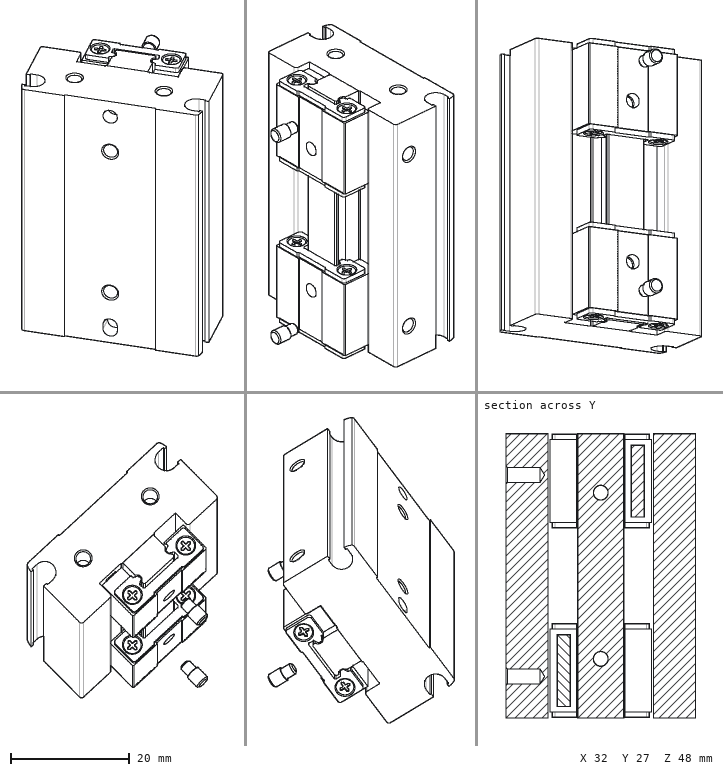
import cadquery as cq
import math

LENGTH = 48.0
WIDTH = 32.0
OVERALL_DEPTH = 27.0

HOUSING_DEPTH = 14.0
HOUSING_CORNER = 0.5
GROOVE_WIDTH = 17.75
GROOVE_FLOOR_Y = 10.95
RIDGE_WIDTH = 7.8
RIDGE_TOP_Y = 11.1
RECESS_WIDTH = 15.95
RECESS_DEPTH = 0.25
LOWER_LIP_WIDTH = 31.7
LOWER_LIP_BREAK_WIDTH = 30.9
LOWER_LIP_BREAK_Y = 0.2
LOWER_LIP_RADIUS = 4.5
FRONT_FACE_WIDTH = 29.95
FRONT_EDGE_RADIUS = 0.7

CHANNEL_HEIGHT = 3.8
CHANNEL_Y = 3.15
CHANNEL_ARC_X = 14.2
CHANNEL_LIP_X = 15.3
CHANNEL_MOUTH = 3.2

HOLE_DIAMETER = 2.45
HOLE_RIM_DIAMETER = 3.0
BLIND_HOLE_DEPTH = 5.75
DRILL_POINT_ANGLE = 118.0
END_HOLE_X = 7.8
END_HOLE_Y = 5.9
SIDE_HOLE_Y = 10.95
SIDE_HOLE_Z = 17.0
THROUGH_HOLE_Z = 14.0
LOCATING_Z = 21.0
LOCATING_DIAMETER = 2.5
LOCATING_SLOT_LENGTH = 3.35
LOCATING_DEPTH = 2.9

RAIL_WIDTH = 7.1
RAIL_TOP_Y = 16.3
RAIL_WAIST_WIDTH = 6.05
RAIL_CORNER = 0.25
RAIL_TRACK_TOP_Y = 15.7
RAIL_TRACK_BOTTOM_Y = 14.05

CARRIAGE_Z = 16.0
CARRIAGE_LENGTH = 15.8
END_PLATE_THICKNESS = 0.85
CARRIAGE_WIDTH = 17.2
CARRIAGE_TOP_Y = 18.85
CARRIAGE_TOP_CORNER = 0.2
LONG_LEG_Y = 11.35
SHORT_LEG_Y = 13.15
MIDDLE_RECESS_WIDTH = 5.85
MIDDLE_RECESS_DEPTH = 0.2
BORE_WIDTH = 8.15
BORE_TOP_Y = 16.8
BORE_CORNER = 0.2
NOSE_WIDTH = 6.45
NOSE_START_Y = 15.7
NOSE_TOP_Y = 15.2
NOSE_BOTTOM_Y = 14.55
NOSE_END_Y = 14.1
FOOT_X = 6.25
FOOT_WIDTH = 2.25
FOOT_INSET = 0.95
END_PLATE_WIDTH = 16.4
END_PLATE_TOP_Y = 18.7
END_PLATE_BOTTOM_Y = 13.65
END_PLATE_CORNER = 0.5
END_PLATE_RECESS_FLOOR = 6.55
END_PLATE_RECESS_MOUTH = 7.0
END_PLATE_RECESS_DEPTH = 0.3

SCREW_X = 6.25
SCREW_Y = 16.2
SCREW_RIM_DIAMETER = 3.35
SCREW_HEAD_DIAMETER = 3.0
SCREW_SINK = 0.2
CROSS_LENGTH = 2.0
CROSS_ARM_WIDTH = 0.5
CROSS_DEPTH = 0.4

PIN_Z = 19.95
PIN_HEAD_DIAMETER = 2.5
PIN_HEAD_LENGTH = 2.55
PIN_HEAD_CHAMFER = 0.25
PIN_TIP_DIAMETER = 2.0
PIN_LENGTH = 4.6
PIN_TIP_CHAMFER = 0.3


def mirrored_profile(half_points):
    """Close a half outline, listed from the bottom centre to the top centre, across X = 0."""
    other_half = [(-x, y) for x, y in reversed(half_points) if x > 0]
    return cq.Workplane("XY").polyline(half_points + other_half).close()


def box_between(x_min, x_max, y_min, y_max, z_min, z_max):
    size = (x_max - x_min, y_max - y_min, z_max - z_min)
    return cq.Workplane("XY").box(*size, centered=False).translate((x_min, y_min, z_min))


def revolved_tool(half_points, position, direction):
    """Turn a (radius, depth) outline about its axis and aim the axis along a direction."""
    x_axis = (0, 0, 1) if direction[2] == 0 else (1, 0, 0)
    plane = cq.Plane(origin=position, xDir=x_axis, normal=direction)
    turned = cq.Workplane("XZ").polyline(half_points).close().revolve(360, (0, 0), (0, 1))
    return cq.Workplane(obj=turned.val().moved(cq.Location(plane)))


def rim_outline():
    radius = HOLE_DIAMETER / 2
    rim_radius = HOLE_RIM_DIAMETER / 2
    return [(0, 0), (rim_radius, 0), (radius, rim_radius - radius)]


def blind_hole(position, direction):
    """Drilled hole with a chamfered rim and a conical bottom."""
    radius = HOLE_DIAMETER / 2
    point_depth = radius / math.tan(math.radians(DRILL_POINT_ANGLE / 2))
    bottom = [(radius, BLIND_HOLE_DEPTH), (0, BLIND_HOLE_DEPTH + point_depth)]
    return revolved_tool(rim_outline() + bottom, position, direction)


def through_hole(position, direction):
    """Straight hole with a chamfered rim, long enough to leave through the far side."""
    bottom = [(HOLE_DIAMETER / 2, OVERALL_DEPTH), (0, OVERALL_DEPTH)]
    return revolved_tool(rim_outline() + bottom, position, direction)


def side_channel():
    """Round-bottomed channel on the +X side, with a narrower mouth between two lips."""
    outer_x = WIDTH / 2
    radius = CHANNEL_HEIGHT / 2
    mouth = CHANNEL_MOUTH / 2
    return (
        cq.Workplane("XY")
        .moveTo(outer_x, CHANNEL_Y + mouth)
        .lineTo(CHANNEL_LIP_X, CHANNEL_Y + mouth)
        .lineTo(CHANNEL_LIP_X, CHANNEL_Y + radius)
        .lineTo(CHANNEL_ARC_X, CHANNEL_Y + radius)
        .threePointArc((CHANNEL_ARC_X - radius, CHANNEL_Y), (CHANNEL_ARC_X, CHANNEL_Y - radius))
        .lineTo(CHANNEL_LIP_X, CHANNEL_Y - radius)
        .lineTo(CHANNEL_LIP_X, CHANNEL_Y - mouth)
        .lineTo(outer_x, CHANNEL_Y - mouth)
        .close()
        .extrude(LENGTH / 2, both=True)
    )


def housing_half():
    """The +X half of the housing extrusion with its side channel, before the holes."""
    outer_x = WIDTH / 2
    groove_x = GROOVE_WIDTH / 2
    corner = HOUSING_CORNER
    arc_offset = corner * (1 - math.sqrt(0.5))
    shoulder_y = HOUSING_DEPTH - corner
    return (
        cq.Workplane("XY")
        .moveTo(0, RECESS_DEPTH)
        .lineTo(RECESS_WIDTH / 2, RECESS_DEPTH)
        .lineTo(RECESS_WIDTH / 2, 0)
        .lineTo(FRONT_FACE_WIDTH / 2, 0)
        .radiusArc((LOWER_LIP_BREAK_WIDTH / 2, LOWER_LIP_BREAK_Y), -FRONT_EDGE_RADIUS)
        .radiusArc((LOWER_LIP_WIDTH / 2, CHANNEL_Y - CHANNEL_MOUTH / 2), -LOWER_LIP_RADIUS)
        .lineTo(outer_x, CHANNEL_Y)
        .lineTo(outer_x, shoulder_y)
        .threePointArc(
            (outer_x - arc_offset, HOUSING_DEPTH - arc_offset),
            (outer_x - corner, HOUSING_DEPTH),
        )
        .lineTo(groove_x + corner, HOUSING_DEPTH)
        .threePointArc(
            (groove_x + arc_offset, HOUSING_DEPTH - arc_offset),
            (groove_x, shoulder_y),
        )
        .lineTo(groove_x, GROOVE_FLOOR_Y)
        .lineTo(RIDGE_WIDTH / 2, GROOVE_FLOOR_Y)
        .lineTo(RIDGE_WIDTH / 2, RIDGE_TOP_Y)
        .lineTo(0, RIDGE_TOP_Y)
        .close()
        .extrude(LENGTH / 2, both=True)
        .cut(side_channel())
    )


def locating_holes():
    """Blind round hole near the top and blind slot near the bottom of the front face."""
    depth = RECESS_DEPTH + LOCATING_DEPTH
    front = cq.Workplane("XZ")
    round_hole = front.center(0, LOCATING_Z).circle(LOCATING_DIAMETER / 2).extrude(-depth)
    slot = front.center(0, -LOCATING_Z).slot2D(LOCATING_SLOT_LENGTH, LOCATING_DIAMETER, 90).extrude(-depth)
    return round_hole.union(slot)


def make_housing():
    half = housing_half()
    body = half.union(half.mirror("YZ")).cut(locating_holes())
    for side in (-1, 1):
        body = body.cut(blind_hole((side * END_HOLE_X, END_HOLE_Y, LENGTH / 2), (0, 0, -1)))
        body = body.cut(blind_hole((-WIDTH / 2, SIDE_HOLE_Y, side * SIDE_HOLE_Z), (1, 0, 0)))
        body = body.cut(through_hole((0, RECESS_DEPTH, side * THROUGH_HOLE_Z), (0, 1, 0)))
    return body


def bolt_bore(z):
    """Straight clearance bore along Y, as wide as the through holes of the housing."""
    return cq.Workplane("XZ").center(0, z).circle(HOLE_DIAMETER / 2).extrude(-OVERALL_DEPTH)


def rail_half():
    """The +X half of the rail, with a round ball track along its side."""
    half_width = RAIL_WIDTH / 2
    track_y = (RAIL_TRACK_TOP_Y + RAIL_TRACK_BOTTOM_Y) / 2
    return (
        cq.Workplane("XY")
        .moveTo(0, RIDGE_TOP_Y)
        .lineTo(half_width, RIDGE_TOP_Y)
        .lineTo(half_width, RAIL_TRACK_BOTTOM_Y)
        .threePointArc((RAIL_WAIST_WIDTH / 2, track_y), (half_width, RAIL_TRACK_TOP_Y))
        .lineTo(half_width, RAIL_TOP_Y - RAIL_CORNER)
        .lineTo(half_width - RAIL_CORNER, RAIL_TOP_Y)
        .lineTo(0, RAIL_TOP_Y)
        .close()
        .extrude(LENGTH / 2, both=True)
    )


def make_rail():
    half = rail_half()
    rail = half.union(half.mirror("YZ"))
    for side in (-1, 1):
        rail = rail.cut(bolt_bore(side * THROUGH_HOLE_Z))
    return rail


def carriage_bore():
    """Opening of a carriage around the rail, with a nose that reaches into each rail track."""
    half_bore = BORE_WIDTH / 2
    half_nose = NOSE_WIDTH / 2
    outline = [
        (0, GROOVE_FLOOR_Y),
        (half_bore, GROOVE_FLOOR_Y),
        (half_bore, NOSE_END_Y),
        (half_nose, NOSE_BOTTOM_Y),
        (half_nose, NOSE_TOP_Y),
        (half_bore, NOSE_START_Y),
        (half_bore, BORE_TOP_Y - BORE_CORNER),
        (half_bore - BORE_CORNER, BORE_TOP_Y),
        (0, BORE_TOP_Y),
    ]
    return mirrored_profile(outline).extrude(LENGTH / 2)


def end_plate_recess():
    """Shallow trough with sloped sides along the middle of the top of the end plates."""
    floor_y = END_PLATE_TOP_Y - END_PLATE_RECESS_DEPTH
    outline = [
        (0, floor_y),
        (END_PLATE_RECESS_FLOOR / 2, floor_y),
        (END_PLATE_RECESS_MOUTH / 2, END_PLATE_TOP_Y),
        (0, END_PLATE_TOP_Y),
    ]
    return mirrored_profile(outline).extrude(LENGTH / 2)


def screw_recess(x, z, direction):
    """Tapered sink around a flush screw head, with a cross recess in the head."""
    outline = [
        (0, 0),
        (SCREW_RIM_DIAMETER / 2, 0),
        (SCREW_HEAD_DIAMETER / 2, SCREW_SINK),
        (0, SCREW_SINK),
    ]
    sink = revolved_tool(outline, (x, SCREW_Y, z), (0, 0, direction))
    depth = SCREW_SINK + CROSS_DEPTH
    cross = cq.Workplane("XY").slot2D(CROSS_LENGTH, CROSS_ARM_WIDTH).extrude(direction * depth)
    cross = cross.union(cross.rotate((0, 0, 0), (0, 0, 1), 90))
    return sink.union(cross.translate((x, SCREW_Y, z)))


def make_carriage():
    """Upper carriage: a middle block with an end plate at each end and one short leg at -X."""
    z_min = CARRIAGE_Z - CARRIAGE_LENGTH / 2
    z_max = CARRIAGE_Z + CARRIAGE_LENGTH / 2
    middle_z_min = z_min + END_PLATE_THICKNESS
    middle_z_max = z_max - END_PLATE_THICKNESS
    half_width = CARRIAGE_WIDTH / 2
    half_plate = END_PLATE_WIDTH / 2

    middle = box_between(-half_width, half_width, LONG_LEG_Y, CARRIAGE_TOP_Y, middle_z_min, middle_z_max)
    middle = middle.edges("|Z and >Y").chamfer(CARRIAGE_TOP_CORNER)
    middle = middle.cut(box_between(-half_width, 0, LONG_LEG_Y, SHORT_LEG_Y, middle_z_min, middle_z_max))
    half_recess = MIDDLE_RECESS_WIDTH / 2
    recess_y = CARRIAGE_TOP_Y - MIDDLE_RECESS_DEPTH
    middle = middle.cut(
        box_between(-half_recess, half_recess, recess_y, CARRIAGE_TOP_Y, middle_z_min, middle_z_max)
    )

    plates = box_between(-half_plate, half_plate, END_PLATE_BOTTOM_Y, END_PLATE_TOP_Y, z_min, z_max)
    plates = plates.edges("|Z").fillet(END_PLATE_CORNER).cut(end_plate_recess())
    plates = plates.cut(
        box_between(-half_plate, half_plate, END_PLATE_BOTTOM_Y, END_PLATE_TOP_Y, middle_z_min, middle_z_max)
    )

    foot_x = FOOT_X - FOOT_WIDTH / 2
    foot = box_between(
        foot_x,
        foot_x + FOOT_WIDTH,
        GROOVE_FLOOR_Y,
        LONG_LEG_Y,
        middle_z_min + FOOT_INSET,
        middle_z_max - FOOT_INSET,
    )

    carriage = middle.union(plates).cut(carriage_bore()).union(foot).cut(bolt_bore(THROUGH_HOLE_Z))
    for x in (-SCREW_X, SCREW_X):
        carriage = carriage.cut(screw_recess(x, z_max, -1))
        carriage = carriage.cut(screw_recess(x, z_min, 1))
    return carriage


def make_pin(z):
    """Stepped pin along Y with its wide end at the back."""
    head_radius = PIN_HEAD_DIAMETER / 2
    tip_radius = PIN_TIP_DIAMETER / 2
    outline = [
        (0, 0),
        (head_radius - PIN_HEAD_CHAMFER, 0),
        (head_radius, PIN_HEAD_CHAMFER),
        (head_radius, PIN_HEAD_LENGTH),
        (tip_radius, PIN_HEAD_LENGTH),
        (tip_radius, PIN_LENGTH - PIN_TIP_CHAMFER),
        (tip_radius - PIN_TIP_CHAMFER, PIN_LENGTH),
        (0, PIN_LENGTH),
    ]
    return revolved_tool(outline, (0, OVERALL_DEPTH, z), (0, -1, 0))


housing = make_housing()
rail = make_rail()
carriages = [make_carriage().rotate((0, 0, 0), (0, 1, 0), turn) for turn in (0, 180)]
pins = [make_pin(z) for z in (-PIN_Z, PIN_Z)]

bodies = [housing, rail, *carriages, *pins]
result = cq.Compound.makeCompound([body.solids().val() for body in bodies])